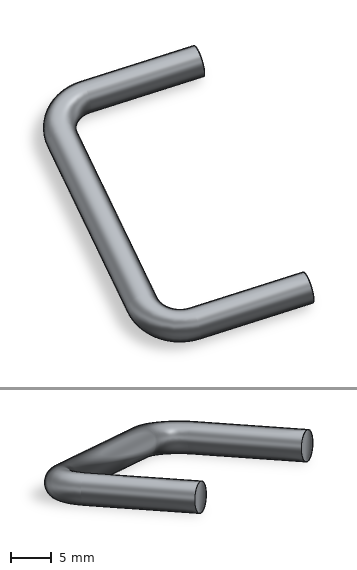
import cadquery as cq

overall_width = 41.0
overall_depth = 22.0
rod_diameter = 4.0
bend_radius = 5.0

rod_radius = rod_diameter / 2
leg_x = overall_width / 2 - rod_radius
leg_end_y = overall_depth - rod_radius
grip_half_length = leg_x - bend_radius

centreline = (
    cq.Workplane("XY")
    .moveTo(-leg_x, leg_end_y)
    .lineTo(-leg_x, bend_radius)
    .radiusArc((-grip_half_length, 0), -bend_radius)
    .lineTo(grip_half_length, 0)
    .radiusArc((leg_x, bend_radius), -bend_radius)
    .lineTo(leg_x, leg_end_y)
)

result = (
    cq.Workplane("XZ", origin=(-leg_x, leg_end_y, 0))
    .circle(rod_radius)
    .sweep(centreline)
)